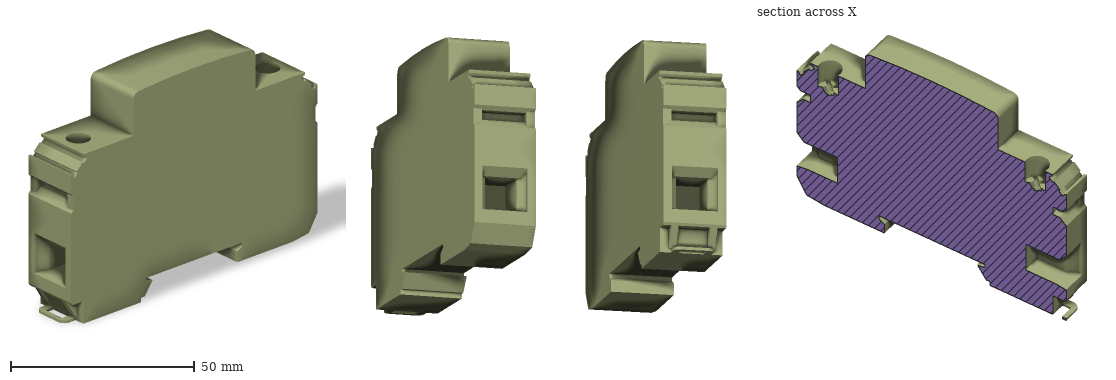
import cadquery as cq
import math

LENGTH = 89.8
WIDTH = 17.7
HEIGHT = 64.7
HALF_LENGTH = LENGTH / 2

SHOULDER_HEIGHT = 50.9
SHOULDER_END = 40.3
DOME_HALF = 22.2
DOME_CROWN_RADIUS = 242.5
DOME_FILLET = 2.0

CORNER_WALL_TOP = 46.0
CORNER_MIDDLE = -5.75
NOTCH_FLOOR_SUM = 88.45
LAND_SUM = 89.35
CORNER_HALF_SPAN = 4.5
LAND_HALF_SPAN = 2.2
LIP_LENGTH = 0.9
LIP_DROP = 0.2

GROOVE_BOTTOM = 34.4
GROOVE_TOP = 40.2
GROOVE_DEPTH = 0.8

SIDE_BOTTOM = 7.45
RAIL_SEAT = 6.7
CHAMFER_SLOPE = 1.65
FOOT_BOTTOM = 1.35
FOOT_CORNER_HEIGHT = 2.2
FOOT_FLAT_START = 35.8
HOOK_TIP = 15.6
HOOK_ROOT = 17.5
HOOK_TIP_TOP = 4.6
HOOK_ROOT_TOP = 5.7

OPENING_WIDTH = 12.9
THROAT_WIDTH = 9.0
OPENING_BOTTOM = 11.2
OPENING_TOP = 23.35
THROAT_BOTTOM = 11.8
THROAT_TOP = 20.9
MOUTH_DEPTH = 1.3
ROOF_SLOPE_DEPTH = 2.4
FUNNEL_DEPTH = 3.8
TERMINAL_DEPTH = 13.5

LABEL_LEDGE = 36.55
LABEL_ROOF = 39.1
LABEL_DEPTH = 4.5

SCREW_Y = 34.5
SCREW_DIAMETER = 7.0
SCREW_RIM_DEPTH = 7.2
SCREW_CROWN = 0.7
SLOT_WIDTH = 1.35
SLOT_DEPTH = 0.7
CROSS_LENGTH = 4.7
CROSS_WIDTH = 1.2
CROSS_DEPTH = 3.2
DRIVE_ANGLE = 45.0

CLIP_FRONT = -40.5
CLIP_BACK = -19.4
CLIP_NECK = -17.6
CLIP_NOSE = -15.2
CLIP_NECK_HEIGHT = 5.75
CLIP_NOSE_HEIGHT = 5.4
CLIP_HEEL = -18.1
RIB_SPAN = OPENING_WIDTH
RIB_GAP = THROAT_WIDTH
RIB_BOTTOM = 1.1
TAB_THICKNESS = 0.8
TAB_WIDTH = 11.4
TAB_CORNER_RADIUS = 2.1
TAB_SLOT_LENGTH = 7.0
TAB_SLOT_FRONT = -43.5


def across(profile, width):
    """Extrude a closed YZ wire by the given width, centred on X = 0."""
    return profile.extrude(width / 2, both=True)


def at_sum_and_difference(total, difference):
    """Point (Y, Z) from Y + Z and Y - Z."""
    return ((total + difference) / 2, (total - difference) / 2)


def end_points():
    """Outline of the +Y end from the shoulder edge to the bottom of the end wall."""
    upper_wall = CORNER_MIDDLE - CORNER_HALF_SPAN
    lower_wall = CORNER_MIDDLE + CORNER_HALF_SPAN
    land_top = CORNER_MIDDLE - LAND_HALF_SPAN
    land_bottom = CORNER_MIDDLE + LAND_HALF_SPAN
    upper_lip = (SHOULDER_END - LIP_DROP, SHOULDER_HEIGHT - LIP_LENGTH)
    lower_lip = (HALF_LENGTH - LIP_LENGTH, CORNER_WALL_TOP - LIP_DROP)
    groove_floor = HALF_LENGTH - GROOVE_DEPTH
    return [
        (SHOULDER_END, SHOULDER_HEIGHT),
        upper_lip,
        at_sum_and_difference(sum(upper_lip), upper_wall),
        at_sum_and_difference(NOTCH_FLOOR_SUM, upper_wall),
        at_sum_and_difference(NOTCH_FLOOR_SUM, land_top),
        at_sum_and_difference(LAND_SUM, land_top),
        at_sum_and_difference(LAND_SUM, land_bottom),
        at_sum_and_difference(NOTCH_FLOOR_SUM, land_bottom),
        at_sum_and_difference(NOTCH_FLOOR_SUM, lower_wall),
        at_sum_and_difference(sum(lower_lip), lower_wall),
        lower_lip,
        (HALF_LENGTH, CORNER_WALL_TOP),
        (HALF_LENGTH, GROOVE_TOP),
        (groove_floor, GROOVE_TOP - GROOVE_DEPTH),
        (groove_floor, GROOVE_BOTTOM + GROOVE_DEPTH),
        (HALF_LENGTH, GROOVE_BOTTOM),
        (HALF_LENGTH, SIDE_BOTTOM),
    ]


def housing():
    plus_end = end_points()
    minus_end = [(-y, z) for y, z in reversed(plus_end)]
    foot_corner = HALF_LENGTH - (SIDE_BOTTOM - FOOT_CORNER_HEIGHT) / CHAMFER_SLOPE
    seat_end = HALF_LENGTH - (SIDE_BOTTOM - RAIL_SEAT) / CHAMFER_SLOPE
    underside = [
        (foot_corner, FOOT_CORNER_HEIGHT),
        (FOOT_FLAT_START, FOOT_BOTTOM),
        (HOOK_TIP, FOOT_BOTTOM),
        (HOOK_TIP, HOOK_TIP_TOP),
        (HOOK_ROOT, HOOK_ROOT_TOP),
        (HOOK_ROOT, RAIL_SEAT),
        (-seat_end, RAIL_SEAT),
    ]
    crown_rise = math.sqrt(DOME_CROWN_RADIUS ** 2 - DOME_HALF ** 2)
    dome_edge = HEIGHT - DOME_CROWN_RADIUS + crown_rise
    outline = (
        cq.Workplane("YZ")
        .moveTo(-DOME_HALF, SHOULDER_HEIGHT)
        .lineTo(-DOME_HALF, dome_edge)
        .threePointArc((0, HEIGHT), (DOME_HALF, dome_edge))
        .lineTo(DOME_HALF, SHOULDER_HEIGHT)
        .polyline(plus_end + underside + minus_end, includeCurrent=True)
        .close()
    )
    above_walls = cq.selectors.BoxSelector(
        (-WIDTH, -LENGTH, dome_edge - DOME_FILLET), (WIDTH, LENGTH, HEIGHT)
    )
    return across(outline, WIDTH).edges("|X").edges(above_walls).fillet(DOME_FILLET)


def terminal_opening():
    """Cutter for the -Y terminal: a flared mouth narrowing to a straight throat."""
    face = -HALF_LENGTH
    end = face + TERMINAL_DEPTH
    side_section = (
        cq.Workplane("YZ")
        .polyline([
            (face, OPENING_BOTTOM),
            (face + FUNNEL_DEPTH, THROAT_BOTTOM),
            (end, THROAT_BOTTOM),
            (end, THROAT_TOP),
            (face + ROOF_SLOPE_DEPTH, THROAT_TOP),
            (face, OPENING_TOP),
        ])
        .close()
    )
    right_half = [
        (OPENING_WIDTH / 2, face),
        (OPENING_WIDTH / 2, face + MOUTH_DEPTH),
        (THROAT_WIDTH / 2, face + FUNNEL_DEPTH),
        (THROAT_WIDTH / 2, end),
    ]
    left_half = [(-x, y) for x, y in reversed(right_half)]
    plan = cq.Workplane("XY").polyline(right_half + left_half).close().extrude(OPENING_TOP)
    return across(side_section, OPENING_WIDTH).intersect(plan)


def label_recess():
    """Cutter for the -Y label recess: the groove chamfers run on to a ledge and a flat roof."""
    face = -HALF_LENGTH
    section = (
        cq.Workplane("YZ")
        .polyline([
            (face, GROOVE_BOTTOM),
            (face + LABEL_LEDGE - GROOVE_BOTTOM, LABEL_LEDGE),
            (face + LABEL_DEPTH, LABEL_LEDGE),
            (face + LABEL_DEPTH, LABEL_ROOF),
            (face + GROOVE_TOP - LABEL_ROOF, LABEL_ROOF),
            (face, GROOVE_TOP),
        ])
        .close()
    )
    return across(section, OPENING_WIDTH)


def cross_recess(rim):
    """Cutter for a cross whose arms slope down to a point at the screw axis."""
    height = CROSS_DEPTH + SCREW_CROWN
    plane = cq.Workplane("XY", origin=(0, 0, rim - CROSS_DEPTH))
    arm_x = plane.rect(CROSS_LENGTH, CROSS_WIDTH).extrude(height)
    arm_y = plane.rect(CROSS_WIDTH, CROSS_LENGTH).extrude(height)
    cone = cq.Solid.makeCone(0, CROSS_LENGTH / 2, height, (0, 0, rim - CROSS_DEPTH))
    return arm_x.union(arm_y).intersect(cq.Workplane(cone))


def screw_well(y):
    """Cutter for a screw hole whose floor is a domed head with a slot and a cross."""
    rim = SHOULDER_HEIGHT - SCREW_RIM_DEPTH
    radius = SCREW_DIAMETER / 2
    crown_radius = (radius ** 2 + SCREW_CROWN ** 2) / (2 * SCREW_CROWN)
    crown = cq.Workplane("XY").sphere(crown_radius).translate((0, 0, rim + SCREW_CROWN - crown_radius))
    well = cq.Workplane("XY", origin=(0, 0, rim)).circle(radius).extrude(SCREW_RIM_DEPTH).cut(crown)

    slot_height = SLOT_DEPTH + SCREW_CROWN
    slot_plane = cq.Workplane("XY", origin=(0, 0, rim - SLOT_DEPTH))
    slot = slot_plane.rect(SCREW_DIAMETER, SLOT_WIDTH).extrude(slot_height)
    slot = slot.intersect(slot_plane.circle(radius).extrude(slot_height))
    well = well.union(slot).union(cross_recess(rim))
    return well.rotate((0, 0, 0), (0, 0, 1), DRIVE_ANGLE).translate((0, y, 0))


def rail_clip():
    body = across(
        cq.Workplane("YZ")
        .polyline([
            (CLIP_FRONT, 0),
            (CLIP_BACK, 0),
            (CLIP_BACK, FOOT_BOTTOM),
            (CLIP_HEEL, FOOT_BOTTOM),
            (CLIP_NOSE, CLIP_NOSE_HEIGHT),
            (CLIP_NECK, CLIP_NECK_HEIGHT),
            (CLIP_NECK, RAIL_SEAT),
            (CLIP_FRONT, RAIL_SEAT),
        ])
        .close(),
        WIDTH,
    )
    return body.union(clip_ribs()).union(pull_tab())


def clip_ribs():
    """Two triangular ribs that continue the end chamfer down to just above the pull tab."""
    seat_end = -HALF_LENGTH + (SIDE_BOTTOM - RAIL_SEAT) / CHAMFER_SLOPE
    rib_toe = -HALF_LENGTH + (SIDE_BOTTOM - RIB_BOTTOM) / CHAMFER_SLOPE
    section = (
        cq.Workplane("YZ")
        .polyline([
            (CLIP_FRONT, RIB_BOTTOM),
            (rib_toe, RIB_BOTTOM),
            (seat_end, RAIL_SEAT),
            (CLIP_FRONT, RAIL_SEAT),
        ])
        .close()
    )
    gap = cq.Workplane("XY").box(RIB_GAP, 2 * LENGTH, 2 * HEIGHT)
    return across(section, RIB_SPAN).cut(gap)


def pull_tab():
    reach = CLIP_FRONT + HALF_LENGTH
    tab = (
        cq.Workplane("XY")
        .box(TAB_WIDTH, reach, TAB_THICKNESS, centered=(True, False, False))
        .translate((0, -HALF_LENGTH, 0))
        .edges("|Z and <Y")
        .fillet(TAB_CORNER_RADIUS)
    )
    slot = (
        cq.Workplane("XY")
        .center(0, (CLIP_FRONT + TAB_SLOT_FRONT) / 2)
        .rect(TAB_SLOT_LENGTH, CLIP_FRONT - TAB_SLOT_FRONT)
        .extrude(TAB_THICKNESS)
    )
    return tab.cut(slot)


part = housing().union(rail_clip())
for cutter in (terminal_opening(), label_recess()):
    part = part.cut(cutter).cut(cutter.mirror("XZ"))
for screw_y in (-SCREW_Y, SCREW_Y):
    part = part.cut(screw_well(screw_y))

result = part